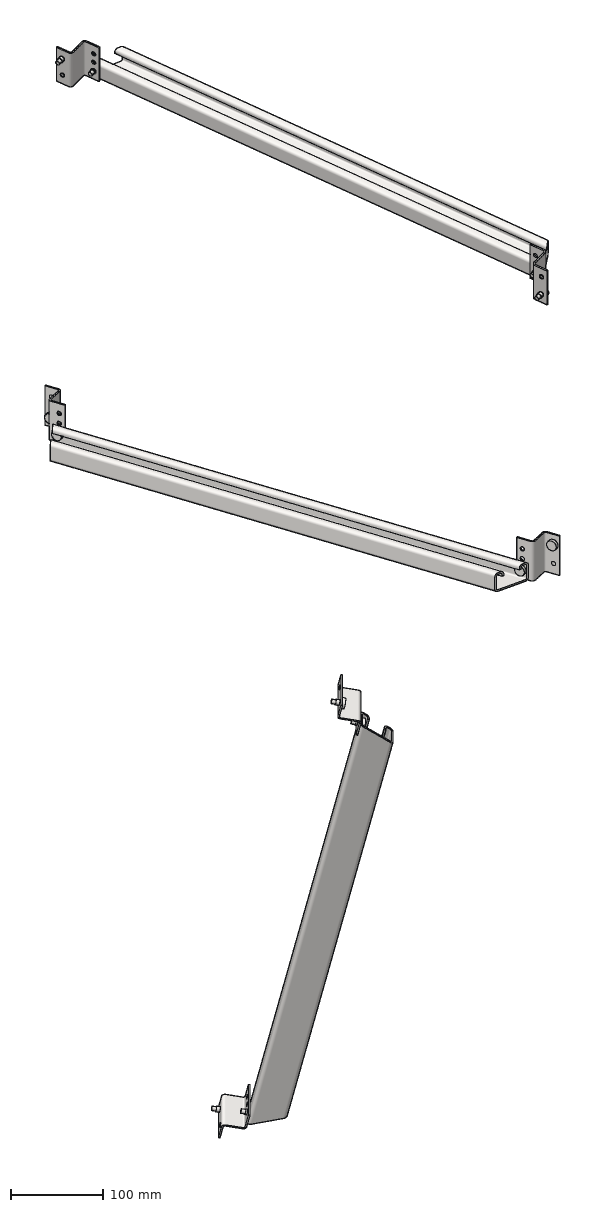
import cadquery as cq
import math


half_length = 319.5

bracket_height = 50.0
bracket_depth = 27.0
bracket_plate = 2.0
bracket_bend_inner = 2.0
bracket_bend_outer = bracket_bend_inner + bracket_plate
web_inner_face = 300.0
web_outer_face = web_inner_face + bracket_plate
inner_flange_end = 280.5
inner_flange_front = -bracket_plate
outer_flange_front = -bracket_depth
outer_flange_back = outer_flange_front + bracket_plate

rail_width = 40.0
rail_height = 23.5
rail_wall = 2.25
rail_bend_inner = 2.0
rail_bend_outer = rail_bend_inner + rail_wall
lip_width = 11.0
lip_drop = 6.5
rail_front_half_length = 295.0
rail_back_half_length = 276.0

head_diameter = 12.0
head_thickness = 4.0
shank_diameter = 5.0
nut_diameter = 6.5
nut_end_reach = 6.1
bolt_length = 11.0

hole_pitch = 25.0
middle_hole_z = bracket_height / 2
lower_hole_z = middle_hole_z - hole_pitch / 2
upper_hole_z = middle_hole_z + hole_pitch / 2
outer_hole_x = 312.0
inner_hole_x = 287.5
blind_hole_depth = bracket_plate / 2

corner_tolerance = 0.05


def cylinder_along_y(x, z, y_start, y_end, diameter):
    """A round bar parallel to Y from y_start back to y_end (y_start < y_end)."""
    return (
        cq.Workplane("XZ", origin=(x, y_start, z))
        .circle(diameter / 2)
        .extrude(y_start - y_end)
    )


def bolt_hole(x, z, y_start, y_end):
    """Cutter for a hole that fits the bolt shank."""
    return cylinder_along_y(x, z, y_start, y_end, shank_diameter)


def round_corners(body, axis, corners, radius):
    """Fillet the edges parallel to `axis` that pass through the given corner points of the section."""
    def at_corner(edge):
        centre = edge.Center()
        place = (centre.y, centre.z) if axis == "X" else (centre.x, centre.y)
        return any(math.dist(place, corner) < corner_tolerance for corner in corners)

    edges = [edge for edge in body.edges(f"|{axis}").vals() if at_corner(edge)]
    return body.newObject(edges).fillet(radius)


def make_rail():
    """The lipped channel, mitred at both ends so that its front is longer than its back."""
    roof_inside = rail_height - rail_wall
    lip_bottom = rail_height - lip_drop
    back_lip = rail_width - lip_width
    back_inside = rail_width - rail_wall
    section = (
        cq.Workplane("YZ", origin=(-rail_front_half_length, 0, 0))
        .polyline([
            (0, 0),
            (rail_width, 0),
            (rail_width, rail_height),
            (back_lip, rail_height),
            (back_lip, lip_bottom),
            (back_lip + rail_wall, lip_bottom),
            (back_lip + rail_wall, roof_inside),
            (back_inside, roof_inside),
            (back_inside, rail_wall),
            (rail_wall, rail_wall),
            (rail_wall, roof_inside),
            (lip_width - rail_wall, roof_inside),
            (lip_width - rail_wall, lip_bottom),
            (lip_width, lip_bottom),
            (lip_width, rail_height),
            (0, rail_height),
        ])
        .close()
        .extrude(2 * rail_front_half_length)
    )

    outer_corners = [
        (0, 0), (rail_width, 0),
        (0, rail_height), (rail_width, rail_height),
        (lip_width, rail_height), (back_lip, rail_height),
    ]
    inner_corners = [
        (rail_wall, rail_wall), (back_inside, rail_wall),
        (rail_wall, roof_inside), (back_inside, roof_inside),
        (lip_width - rail_wall, roof_inside), (back_lip + rail_wall, roof_inside),
    ]
    channel = round_corners(section, "X", outer_corners, rail_bend_outer)
    channel = round_corners(channel, "X", inner_corners, rail_bend_inner)

    mitred_plan = (
        cq.Workplane("XY")
        .polyline([
            (-rail_front_half_length, 0),
            (rail_front_half_length, 0),
            (rail_back_half_length, rail_width),
            (-rail_back_half_length, rail_width),
        ])
        .close()
        .extrude(rail_height)
    )
    rail = channel.intersect(mitred_plan)
    for side in (-1, 1):
        rail = rail.cut(bolt_hole(side * inner_hole_x, lower_hole_z, 0, rail_wall))
    return rail


def make_bracket(side, bolted_outer_z, blind_outer_z):
    """A Z-shaped bracket at the end of the rail given by `side` (-1 left, 1 right)."""
    web_inner = side * web_inner_face
    web_outer = side * web_outer_face
    inner_end = side * inner_flange_end
    outer_end = side * half_length
    plate = (
        cq.Workplane("XY")
        .polyline([
            (inner_end, 0),
            (web_outer, 0),
            (web_outer, outer_flange_back),
            (outer_end, outer_flange_back),
            (outer_end, outer_flange_front),
            (web_inner, outer_flange_front),
            (web_inner, inner_flange_front),
            (inner_end, inner_flange_front),
        ])
        .close()
        .extrude(bracket_height)
    )
    convex_corners = [(web_outer, 0), (web_inner, outer_flange_front)]
    concave_corners = [(web_outer, outer_flange_back), (web_inner, inner_flange_front)]
    bracket = round_corners(plate, "Z", convex_corners, bracket_bend_outer)
    bracket = round_corners(bracket, "Z", concave_corners, bracket_bend_inner)

    for z in (lower_hole_z, middle_hole_z, upper_hole_z):
        bracket = bracket.cut(bolt_hole(side * inner_hole_x, z, inner_flange_front, 0))
    outer_x = side * outer_hole_x
    bracket = bracket.cut(bolt_hole(outer_x, bolted_outer_z, outer_flange_front, outer_flange_back))
    blind_end = outer_flange_front + blind_hole_depth
    return bracket.cut(bolt_hole(outer_x, blind_outer_z, outer_flange_front, blind_end))


def make_bolt(x, z, head_seat_y, nut_seat_y):
    """A bolt with its nut, clamping the plates between head_seat_y and nut_seat_y."""
    head = cylinder_along_y(x, z, head_seat_y, head_seat_y + head_thickness, head_diameter)
    shank = cylinder_along_y(x, z, head_seat_y - bolt_length, head_seat_y, shank_diameter)
    nut = cylinder_along_y(x, z, head_seat_y - nut_end_reach, nut_seat_y, nut_diameter)
    return head.union(shank).union(nut)


rail = make_rail()
left_bracket = make_bracket(-1, upper_hole_z, lower_hole_z)
right_bracket = make_bracket(1, lower_hole_z, upper_hole_z)

bolts = []
for side, outer_z in ((-1, upper_hole_z), (1, lower_hole_z)):
    bolts.append(make_bolt(side * outer_hole_x, outer_z, outer_flange_back, outer_flange_front))
    bolts.append(make_bolt(side * inner_hole_x, lower_hole_z, rail_wall, inner_flange_front))

result = cq.Compound.makeCompound([
    rail.val(),
    left_bracket.val(),
    right_bracket.val(),
    *[bolt.val() for bolt in bolts],
])